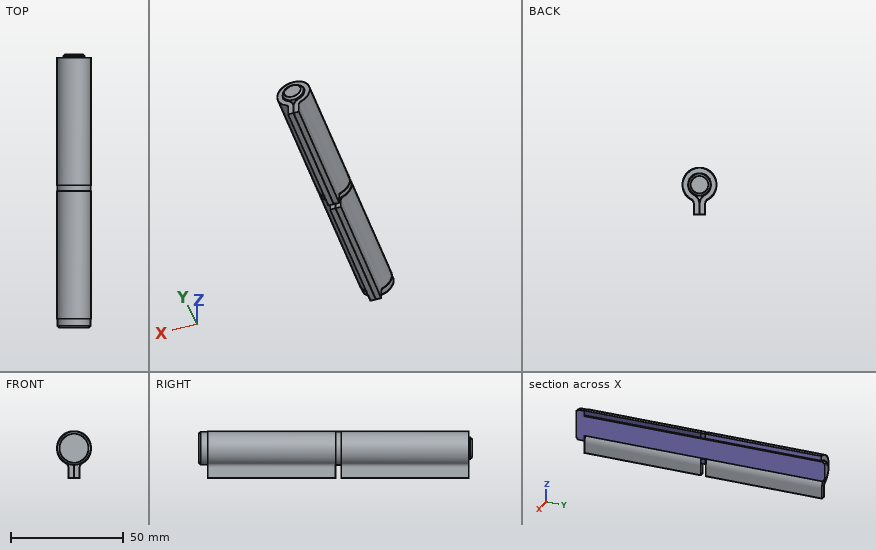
import cadquery as cq
import math

pin_diameter = 9.8
head_diameter = 14.9
head_length = 4.0
pin_chamfer = 1.0
tip_projection = 1.5

ring_outer_diameter = 15.0
ring_bore_diameter = 10.0
ring_width = 2.4
ring_clearance = 0.1

leaf_length = 57.0
sheet_thickness = 2.5
barrel_outer_radius = 7.65
leg_gap = 0.1
leg_bottom = -13.32
bend_radius = 2.0

leaf_spacing = ring_clearance + ring_width
total_length = head_length + 2 * leaf_length + leaf_spacing + tip_projection
head_start = -total_length / 2
front_leaf_start = head_start + head_length
ring_start = front_leaf_start + leaf_length + ring_clearance
rear_leaf_start = ring_start + ring_width


def plane_at(y):
    """Sketch plane facing +Y at position y on the hinge axis, local x = -X, local y = Z."""
    return cq.Workplane(cq.Plane(origin=(0, y, 0), xDir=(-1, 0, 0), normal=(0, 1, 0)))


def make_pin():
    head = plane_at(head_start).circle(head_diameter / 2).extrude(head_length)
    shaft = plane_at(head_start).circle(pin_diameter / 2).extrude(total_length)
    return head.union(shaft).faces("<Y or >Y").chamfer(pin_chamfer)


def make_ring():
    outline = plane_at(ring_start).circle(ring_outer_diameter / 2).circle(ring_bore_diameter / 2)
    return outline.extrude(ring_width)


def make_leaf(y_start):
    barrel_inner_radius = barrel_outer_radius - sheet_thickness
    leg_inner = leg_gap / 2
    leg_outer = leg_inner + sheet_thickness
    inner_bend_radius = bend_radius + sheet_thickness

    bend_x = leg_outer + bend_radius
    bend_distance = barrel_outer_radius + bend_radius
    bend_z = -math.sqrt(bend_distance**2 - bend_x**2)
    toward_bend = (bend_x / bend_distance, bend_z / bend_distance)
    mid_angle = (math.pi + math.atan2(-bend_z, -bend_x)) / 2

    def on_barrel(radius, side):
        return (side * radius * toward_bend[0], radius * toward_bend[1])

    def on_bend(radius, side):
        return (side * (bend_x + radius * math.cos(mid_angle)), bend_z + radius * math.sin(mid_angle))

    outline = (
        plane_at(y_start)
        .moveTo(leg_outer, leg_bottom)
        .lineTo(leg_outer, bend_z)
        .threePointArc(on_bend(bend_radius, 1), on_barrel(barrel_outer_radius, 1))
        .threePointArc((0, barrel_outer_radius), on_barrel(barrel_outer_radius, -1))
        .threePointArc(on_bend(bend_radius, -1), (-leg_outer, bend_z))
        .lineTo(-leg_outer, leg_bottom)
        .lineTo(-leg_inner, leg_bottom)
        .lineTo(-leg_inner, bend_z)
        .threePointArc(on_bend(inner_bend_radius, -1), on_barrel(barrel_inner_radius, -1))
        .threePointArc((0, barrel_inner_radius), on_barrel(barrel_inner_radius, 1))
        .threePointArc(on_bend(inner_bend_radius, 1), (leg_inner, bend_z))
        .lineTo(leg_inner, leg_bottom)
        .close()
    )
    return outline.extrude(leaf_length)


pin = make_pin()
ring = make_ring()
leaves = [make_leaf(y_start) for y_start in (front_leaf_start, rear_leaf_start)]

result = cq.Compound.makeCompound([pin.val(), ring.val(), *[leaf.val() for leaf in leaves]])